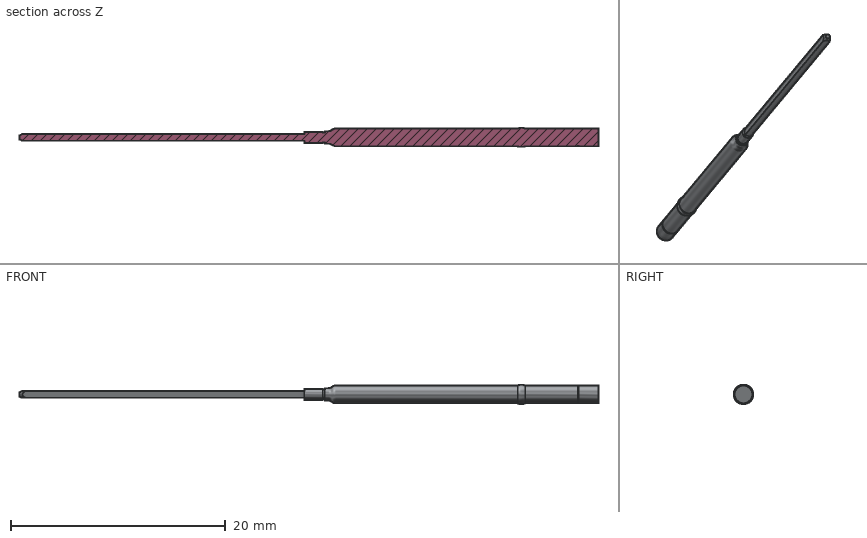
import cadquery as cq
import math

COLLAR_DIAMETER = 1.05
NECK_DIAMETER = 0.95
NOSE_DIAMETER = 1.19
BARREL_DIAMETER = 1.68
GROOVE_DIAMETER = 1.64
PRESS_RING_DIAMETER = 1.84

COLLAR_START = 26.55
COLLAR_END = 28.25
NOSE_START = 28.45
SHOULDER_START = 28.8
SHOULDER_END = 29.45
PRESS_RING_START = 46.4
PRESS_RING_END = 47.1
GROOVE_START = 52.0
GROOVE_END = 52.1
TOTAL_LENGTH = 53.95

POST_WIDTH = 0.64
POST_TIP_RADIUS = 0.2
POST_TIP_LENGTH = 0.55


def revolve_about_x(profile):
    """Close an upper half profile and turn it about the X axis."""
    return profile.close().revolve(360, (0, 0, 0), (1, 0, 0))


def make_post():
    """Square post whose four corners run into a conical tip."""
    corner_radius = POST_WIDTH / math.sqrt(2)
    post = cq.Workplane("YZ").rect(POST_WIDTH, POST_WIDTH).extrude(COLLAR_START)
    envelope = revolve_about_x(
        cq.Workplane("XZ")
        .lineTo(0, POST_TIP_RADIUS)
        .lineTo(POST_TIP_LENGTH, corner_radius)
        .lineTo(POST_TIP_LENGTH, POST_WIDTH)
        .lineTo(COLLAR_START, POST_WIDTH)
        .lineTo(COLLAR_START, 0)
    )
    return post.intersect(envelope)


def make_body():
    """Turned body: collar, neck groove, nose, ogee shoulder and barrel with its press ring and groove."""
    collar_radius = COLLAR_DIAMETER / 2
    neck_radius = NECK_DIAMETER / 2
    nose_radius = NOSE_DIAMETER / 2
    barrel_radius = BARREL_DIAMETER / 2
    groove_radius = GROOVE_DIAMETER / 2
    shoulder_middle = ((SHOULDER_START + SHOULDER_END) / 2, (nose_radius + barrel_radius) / 2)
    ring_middle = ((PRESS_RING_START + PRESS_RING_END) / 2, PRESS_RING_DIAMETER / 2)
    return revolve_about_x(
        cq.Workplane("XZ")
        .moveTo(COLLAR_START, 0)
        .lineTo(COLLAR_START, collar_radius)
        .lineTo(COLLAR_END, collar_radius)
        .lineTo(COLLAR_END, neck_radius)
        .lineTo(NOSE_START, neck_radius)
        .lineTo(NOSE_START, nose_radius)
        .lineTo(SHOULDER_START, nose_radius)
        .tangentArcPoint(shoulder_middle, relative=False)
        .tangentArcPoint((SHOULDER_END, barrel_radius), relative=False)
        .lineTo(PRESS_RING_START, barrel_radius)
        .threePointArc(ring_middle, (PRESS_RING_END, barrel_radius))
        .lineTo(GROOVE_START, barrel_radius)
        .lineTo(GROOVE_START, groove_radius)
        .lineTo(GROOVE_END, groove_radius)
        .lineTo(GROOVE_END, barrel_radius)
        .lineTo(TOTAL_LENGTH, barrel_radius)
        .lineTo(TOTAL_LENGTH, 0)
    )


result = make_post().union(make_body())